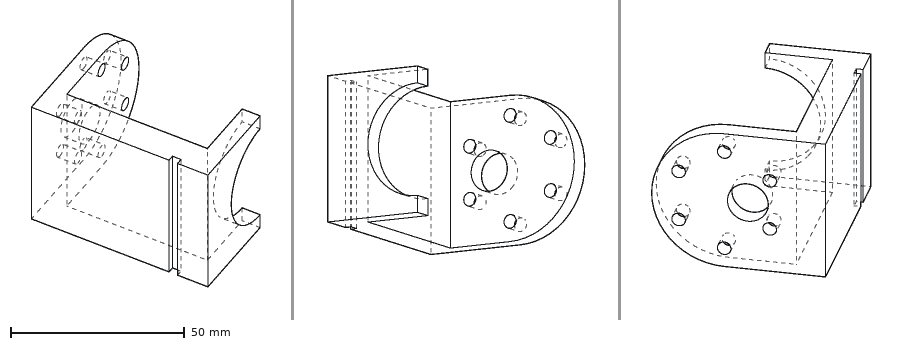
import cadquery as cq

length = 59.0
depth = 51.5
height = 43.0
base_thickness = 10.05
wall_thickness = 6.0

end_radius = height / 2
round_center_y = depth - end_radius

bore_diameter = 12.05
bore_center_y = 23.0
bolt_circle_radius = 15.6
bolt_hole_diameter = 4.0
bolt_hole_count = 6
first_bolt_angle = 30

cutout_radius = 16.5

groove_width = 2.85
groove_depth = 2.0
groove_right_margin = 10.15


def make_plate(x, size_x, size_y):
    """Full-height plate standing on the Y = 0 face, centred on Z = 0."""
    plate = cq.Workplane("XY").box(size_x, size_y, height, centered=(False, False, True))
    return plate.translate((x, 0, 0))


def make_cylinder(x, center_y, radius):
    """Cylinder along X, one wall thick, starting at x."""
    return cq.Workplane("YZ", origin=(x, center_y, 0)).circle(radius).extrude(wall_thickness)


def make_left_wall():
    """Wall with a rounded end, an offset bore and a circle of bolt holes."""
    wall = make_plate(0, wall_thickness, round_center_y)
    wall = wall.union(make_cylinder(0, round_center_y, end_radius))
    wall = wall.cut(make_cylinder(0, bore_center_y, bore_diameter / 2))
    bolt_holes = (
        cq.Workplane("YZ", origin=(0, round_center_y, 0))
        .polarArray(bolt_circle_radius, first_bolt_angle, 360, bolt_hole_count)
        .circle(bolt_hole_diameter / 2)
        .extrude(wall_thickness)
    )
    return wall.cut(bolt_holes)


def make_right_wall():
    """Shorter wall with a semicircular cutout in its free end."""
    wall_x = length - wall_thickness
    wall = make_plate(wall_x, wall_thickness, round_center_y)
    return wall.cut(make_cylinder(wall_x, round_center_y, cutout_radius))


def make_base():
    """Base plate with the groove in its outer face."""
    groove_x = length - groove_right_margin - groove_width
    groove = make_plate(groove_x, groove_width, groove_depth)
    return make_plate(0, length, base_thickness).cut(groove)


result = make_base().union(make_left_wall()).union(make_right_wall())